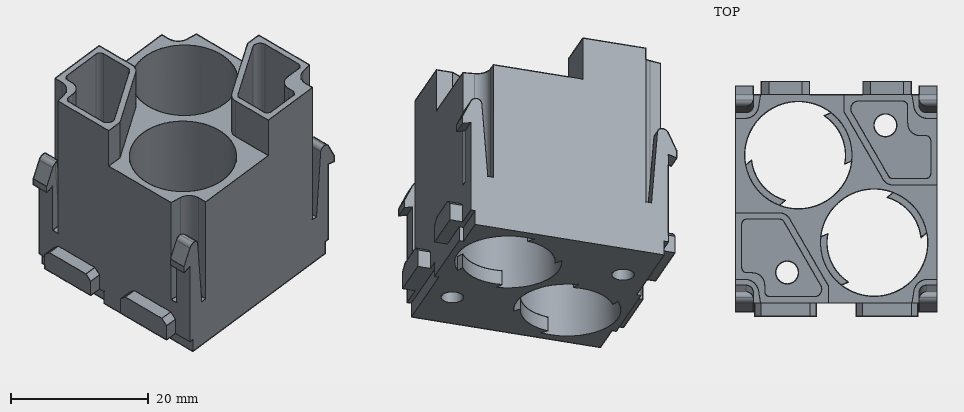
import cadquery as cq
import math

WIDTH = 29.35
BODY_DEPTH = 30.3
FULL_DEPTH = 34.2
DECK_Z = 27.05
HEIGHT = 33.9
half_width = WIDTH / 2
half_depth = BODY_DEPTH / 2
CLEARANCE = 1.7

RECESS_HEIGHT = 2.3
RECESS_DEPTH = 0.65
KEY_LEFT_X = -2.05
KEY_RIGHT_X = 9.35

BORE_DIAMETER = 15.6
BORE_X = 5.5
BORE_Y = 6.35
LUG_INNER_RADIUS = 6.85
LUG_WIDTH = 7.65
LUG_HEIGHT = RECESS_HEIGHT
LUG_ANGLES = (23.0, 220.0)

TOWER_X = 1.13
TOWER_Y = 2.02
SLANT_START_Y = 12.7
SLANT_ANGLE = 60.0
TOWER_RADIUS = 1.7
TOWER_WALL = 0.92
POCKET_NOTCH_X = 10.4
REAR_NOTCH_Y = 9.2
FRONT_NOTCH_Y = 10.75
NOTCH_RADIUS = 1.8
POCKET_RADIUS = 0.75
POCKET_POINT_RADIUS = 1.1
PIN_HOLE_DIAMETER = 3.3
PIN_HOLE_X = 7.15
PIN_HOLE_Y = 10.7

CHANNEL_FLOOR_Z = 8.35
CHANNEL_X = 11.0
CHANNEL_Y = 11.7
CHANNEL_TILT = 9.0
CHANNEL_RADIUS = 2.05
ARM_WIDTH = 2.65
ARM_ROOT_Y = 12.55
ARM_TIP_Y = 13.47
ARM_TIP_Z = 20.3
ARM_PEAK_Y = 14.35
ARM_PEAK_Z = 20.95
ARM_SHOULDER_Z = 20.4
ARM_INNER_CROWN = (13.75, 20.8)
ARM_OUTER_CROWN = (14.8, 20.8)
BARB_Y = 16.45
BARB_TOP_Z = 17.6
BARB_BOTTOM_Z = 16.45
BARB_ROOT_Z = 16.83
ARM_EDGE_RADIUS = 1.1

POCKET_FLOOR_Z = CHANNEL_FLOOR_Z

TAB_CENTRE_X = 7.4
TAB_TOP_Z = 5.9
TAB_CHAMFER_HEIGHT = 0.9
FRONT_TAB_WIDTH = 8.95
FRONT_TAB_CHAMFER = 0.92
REAR_TAB_WIDTH = 7.05
REAR_TAB_CHAMFER = 1.1


def block(x0, x1, y0, y1, z0, z1):
    """Box between two opposite corners."""
    return cq.Workplane("XY").box(x1 - x0, y1 - y0, z1 - z0, centered=False).translate((x0, y0, z0))


def half_turn(shape):
    """Copy of a shape on the diagonally opposite side of the part."""
    return shape.rotate((0, 0, 0), (0, 0, 1), 180)


def four_corners(shape):
    """Copies of a rear-right corner shape for all four corners."""
    left = shape.mirror("YZ")
    return shape, left, half_turn(shape), half_turn(left)


def prism(corners, z0, z1):
    """Upright prism from (x, y, corner radius) triples."""
    outline = [(x, y) for x, y, _ in corners]
    solid = cq.Workplane("XY").workplane(offset=z0).polyline(outline).close().extrude(z1 - z0)
    middle_z = (z0 + z1) / 2
    for x, y, radius in corners:
        if radius:
            solid = solid.edges(cq.NearestToPointSelector((x, y, middle_z))).fillet(radius)
    return solid


def slant_x(y, inset=0.0):
    """X of the slanted tower face at a given Y, moved into the tower by inset."""
    angle = math.radians(SLANT_ANGLE)
    return TOWER_X + (SLANT_START_Y - y) / math.tan(angle) + inset / math.sin(angle)


def tower():
    """Solid rear-right tower above the deck."""
    corners = [
        (TOWER_X, half_depth, 0),
        (TOWER_X, SLANT_START_Y, 0),
        (slant_x(TOWER_Y), TOWER_Y, TOWER_RADIUS),
        (half_width, TOWER_Y, 0),
        (half_width, half_depth, 0),
    ]
    return prism(corners, DECK_Z, HEIGHT)


def pocket(notch_y):
    """Pocket of the rear-right tower, stepped in around the corner channel, with its pin hole."""
    top_y = half_depth - TOWER_WALL
    bottom_y = TOWER_Y + TOWER_WALL
    right_x = half_width - TOWER_WALL
    corners = [
        (slant_x(top_y, TOWER_WALL), top_y, POCKET_POINT_RADIUS),
        (slant_x(bottom_y, TOWER_WALL), bottom_y, POCKET_RADIUS),
        (right_x, bottom_y, POCKET_RADIUS),
        (right_x, notch_y, POCKET_RADIUS),
        (POCKET_NOTCH_X, notch_y, NOTCH_RADIUS),
        (POCKET_NOTCH_X, top_y, POCKET_RADIUS),
    ]
    cavity = prism(corners, POCKET_FLOOR_Z, HEIGHT)
    pin_hole = cq.Workplane("XY").center(PIN_HOLE_X, PIN_HOLE_Y).circle(PIN_HOLE_DIAMETER / 2).extrude(HEIGHT)
    return cavity.union(pin_hole)


def bore():
    """Rear-left bore, leaving two lugs with parallel ends at the base."""
    cylinder = cq.Workplane("XY").circle(BORE_DIAMETER / 2).extrude(HEIGHT)
    ring = cq.Workplane("XY").circle(BORE_DIAMETER / 2).circle(LUG_INNER_RADIUS).extrude(LUG_HEIGHT)
    strip = block(0, BORE_DIAMETER, -LUG_WIDTH / 2, LUG_WIDTH / 2, 0, LUG_HEIGHT)
    for angle in LUG_ANGLES:
        cylinder = cylinder.cut(ring.intersect(strip.rotate((0, 0, 0), (0, 0, 1), angle)))
    return cylinder.translate((-BORE_X, BORE_Y, 0))


def recesses():
    """Two shallow recesses low on the front wall, either side of the full-depth key."""
    outer_y = -half_depth - CLEARANCE
    inner_y = -half_depth + RECESS_DEPTH
    left = block(-half_width, KEY_LEFT_X, outer_y, inner_y, 0, RECESS_HEIGHT)
    right = block(KEY_RIGHT_X, half_width, outer_y, inner_y, 0, RECESS_HEIGHT)
    return left.union(right)


def channel():
    """Channel at the rear-right corner, open to the outside and the top."""
    slope = math.tan(math.radians(CHANNEL_TILT))
    outer_x = half_width + CLEARANCE
    outer_y = half_depth + CLEARANCE
    corners = [
        (CHANNEL_X - slope * CLEARANCE, outer_y, 0),
        (CHANNEL_X + slope * (half_depth - CHANNEL_Y), CHANNEL_Y, CHANNEL_RADIUS),
        (outer_x, CHANNEL_Y, 0),
        (outer_x, outer_y, 0),
    ]
    return prism(corners, CHANNEL_FLOOR_Z, HEIGHT)


def snap_arm():
    """Tapered snap arm with an outward barb for the rear-right corner."""
    side = cq.Workplane("YZ").workplane(offset=half_width - ARM_WIDTH)
    profile = (
        side.moveTo(half_depth, CHANNEL_FLOOR_Z)
        .lineTo(ARM_ROOT_Y, CHANNEL_FLOOR_Z)
        .lineTo(ARM_TIP_Y, ARM_TIP_Z)
        .threePointArc(ARM_INNER_CROWN, (ARM_PEAK_Y, ARM_PEAK_Z))
        .threePointArc(ARM_OUTER_CROWN, (half_depth, ARM_SHOULDER_Z))
        .lineTo(BARB_Y, BARB_TOP_Z)
        .lineTo(BARB_Y, BARB_BOTTOM_Z)
        .lineTo(half_depth, BARB_ROOT_Z)
        .close().extrude(ARM_WIDTH)
    )

    lean = (ARM_TIP_Y - ARM_ROOT_Y) / (ARM_TIP_Z - CHANNEL_FLOOR_Z)
    envelope_top_y = ARM_ROOT_Y + lean * (HEIGHT - CHANNEL_FLOOR_Z)
    outline = [
        (ARM_ROOT_Y, CHANNEL_FLOOR_Z),
        (envelope_top_y, HEIGHT),
        (BARB_Y, HEIGHT),
        (BARB_Y, CHANNEL_FLOOR_Z),
    ]
    edge_middle = (
        half_width - ARM_WIDTH,
        (ARM_ROOT_Y + envelope_top_y) / 2,
        (CHANNEL_FLOOR_Z + HEIGHT) / 2,
    )
    envelope = side.polyline(outline).close().extrude(ARM_WIDTH)
    envelope = envelope.edges(cq.NearestToPointSelector(edge_middle)).fillet(ARM_EDGE_RADIUS)
    return profile.intersect(envelope)


def tab(width, chamfer):
    """Rear coding tab centred on X = 0, with its two upper corners chamfered."""
    half = width / 2
    shoulder_z = TAB_TOP_Z - TAB_CHAMFER_HEIGHT
    outline = [
        (-half, RECESS_HEIGHT),
        (-half, shoulder_z),
        (-half + chamfer, TAB_TOP_Z),
        (half - chamfer, TAB_TOP_Z),
        (half, shoulder_z),
        (half, RECESS_HEIGHT),
    ]
    root_y = half_depth - RECESS_DEPTH
    plane = cq.Workplane("XZ", origin=(0, root_y, 0))
    return plane.polyline(outline).close().extrude(-(FULL_DEPTH / 2 - root_y))


body = block(-half_width, half_width, -half_depth, half_depth, 0, DECK_Z)
body = body.union(tower()).union(half_turn(tower()))

body = body.cut(bore()).cut(half_turn(bore()))
body = body.cut(pocket(REAR_NOTCH_Y)).cut(half_turn(pocket(FRONT_NOTCH_Y)))
body = body.cut(recesses()).cut(half_turn(recesses()))

for shape in four_corners(channel()):
    body = body.cut(shape)
for shape in four_corners(snap_arm()):
    body = body.union(shape)

for side in (-1, 1):
    body = body.union(tab(REAR_TAB_WIDTH, REAR_TAB_CHAMFER).translate((side * TAB_CENTRE_X, 0, 0)))
    front_tab = half_turn(tab(FRONT_TAB_WIDTH, FRONT_TAB_CHAMFER))
    body = body.union(front_tab.translate((side * TAB_CENTRE_X, 0, 0)))

result = body